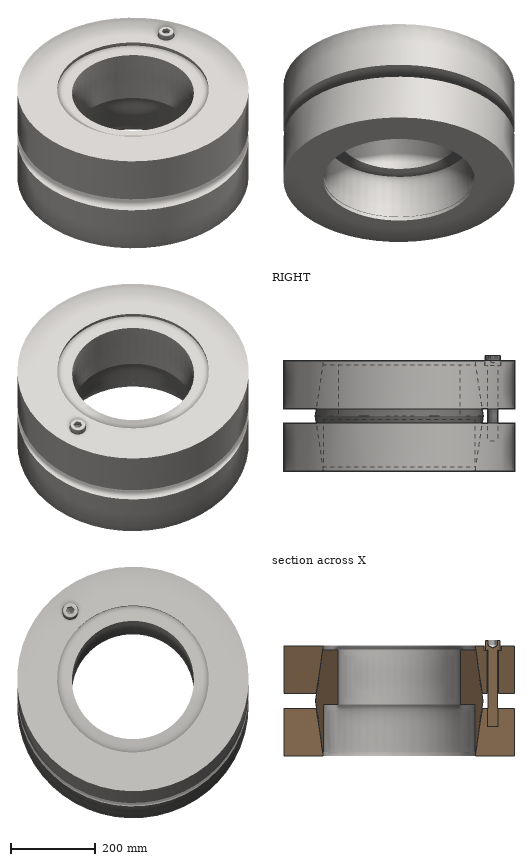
import cadquery as cq
import math

flange_diameter = 550.0
flange_thickness = 115.0
flange_gap = 33.5
stack_height = 2 * flange_thickness + flange_gap
mid_height = stack_height / 2
upper_flange_base = flange_thickness + flange_gap

ring_bore_diameter = 360.0
collar_bore_diameter = 290.0
ring_end_recess = 10.5
collar_height = 130.0
collar_top = stack_height - ring_end_recess
collar_bottom = collar_top - collar_height
ring_crest_diameter = 400.0
taper_mouth_diameter = ring_bore_diameter

screw_offset = 222.0
head_diameter = 36.0
head_height = 24.0
head_protrusion = 12.5
head_edge_radius = 2.0
shank_diameter = 24.0
shank_length = 180.0
socket_corner_diameter = 21.0
socket_depth = 12.0
socket_cone_angle = 120.0
head_top = stack_height + head_protrusion
head_seat = head_top - head_height
shank_tip = head_seat - shank_length

counterbore_diameter = 40.0
clearance_diameter = 26.0


def cylinder(diameter, bottom, top, y=0.0):
    return cq.Workplane("XY", origin=(0, y, bottom)).circle(diameter / 2).extrude(top - bottom)


def double_taper():
    """Solid double cone about Z, spanning the whole stack."""
    return (
        cq.Workplane("XZ")
        .lineTo(taper_mouth_diameter / 2, 0)
        .lineTo(ring_crest_diameter / 2, mid_height)
        .lineTo(taper_mouth_diameter / 2, stack_height)
        .lineTo(0, stack_height)
        .close()
        .revolve(360, (0, 0, 0), (0, 1, 0))
    )


def make_flange(bottom):
    """Flange disc with a tapered bore that seats on the inner ring."""
    disc = cylinder(flange_diameter, bottom, bottom + flange_thickness)
    return disc.cut(double_taper())


def make_lower_flange():
    screw_hole = cylinder(shank_diameter, shank_tip, flange_thickness, screw_offset)
    return make_flange(0).cut(screw_hole)


def make_upper_flange():
    clearance = cylinder(clearance_diameter, upper_flange_base, head_seat, screw_offset)
    counterbore = cylinder(counterbore_diameter, head_seat, stack_height, screw_offset)
    return make_flange(upper_flange_base).cut(clearance).cut(counterbore)


def make_ring():
    """Tapered ring whose wide bore narrows at the collar, both ends set in from the flange faces."""
    collar_bore = cylinder(collar_bore_diameter, collar_bottom, collar_top)
    wide_bore = cylinder(ring_bore_diameter, ring_end_recess, collar_bottom)
    envelope = cylinder(ring_crest_diameter, ring_end_recess, collar_top)
    return double_taper().intersect(envelope).cut(collar_bore).cut(wide_bore)


def make_socket():
    """Hexagonal recess, corners along Y, over a conical bottom as wide as the corners."""
    floor = head_top - socket_depth
    hexagon = (
        cq.Workplane("XY", origin=(0, screw_offset, floor))
        .transformed(rotate=(0, 0, 90))
        .polygon(6, socket_corner_diameter)
        .extrude(socket_depth)
    )
    cone_radius = socket_corner_diameter / 2
    cone_height = cone_radius / math.tan(math.radians(socket_cone_angle / 2))
    cone = cq.Solid.makeCone(
        cone_radius, 0, cone_height, cq.Vector(0, screw_offset, floor), cq.Vector(0, 0, -1)
    )
    return hexagon.union(cq.Workplane(cone))


def make_screw():
    head = cylinder(head_diameter, head_seat, head_top, screw_offset)
    head = head.faces(">Z").edges().fillet(head_edge_radius)
    shank = cylinder(shank_diameter, shank_tip, head_seat, screw_offset)
    return head.union(shank).cut(make_socket())


lower_flange = make_lower_flange()
upper_flange = make_upper_flange()
ring = make_ring()
screw = make_screw()

result = cq.Compound.makeCompound(
    [
        *lower_flange.solids().vals(),
        *upper_flange.solids().vals(),
        *ring.solids().vals(),
        *screw.solids().vals(),
    ]
)